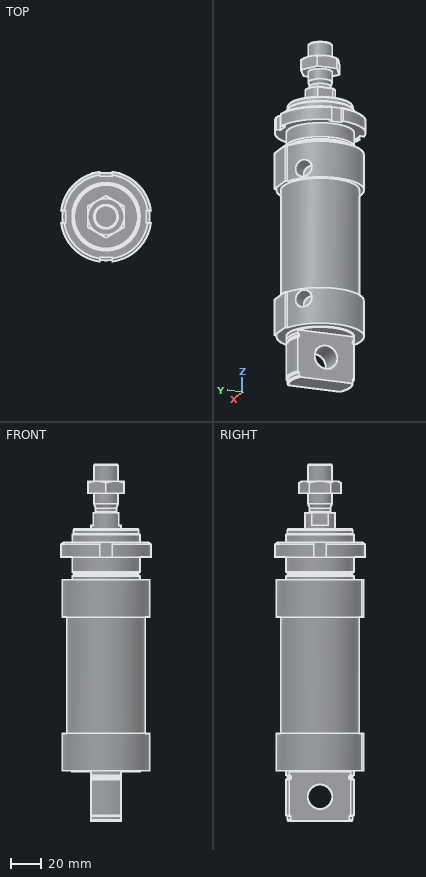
import cadquery as cq
import math

overall_height = 235.2
clevis_height = 32.5
collar_height = 0.7
cap_height = 24.7
tube_length = 76.7
head_height = 33.5
lower_cap_z = clevis_height + collar_height
upper_cap_z = lower_cap_z + cap_height + tube_length
head_z = upper_cap_z + cap_height
head_top = head_z + head_height

cap_diameter = 57.9
tube_diameter = 52.0
end_diameter = 45.0
tip_diameter = 43.3
groove_diameter = 42.8
tip_length = 3.0
edge_chamfer = 0.7
groove_floor = 1.0
groove_gap = 2.0
clevis_thickness = 20.0
clevis_hole_diameter = 16.0
clevis_hole_z = 16.0

boss_width = 18.3
port_diameter = 11.5
port_depth = 14.0
port_inset = 6.8
port_angle = 135.0

shoulder_diameter = 20.0
shoulder_height = 10.5
flat_spacing = 17.0
flat_length = 8.2
thread_diameter = 16.0
neck_diameter = 13.9
neck_flare_diameter = 15.3
neck_flare_height = 0.7
neck_top_height = 3.0
neck_taper = 2.8

hex_across_flats = 24.0
hex_height = 8.0
hex_z = 216.1
hex_chamfer_angle = 30.0

ring_diameter = 60.0
ring_height = 9.9
ring_z = 174.0
ring_chamfer_width = 2.0
ring_chamfer_height = 1.5
slot_width = 8.0
slot_depth = 3.3
slot_count = 4


def disc(diameter, height, z):
    return cq.Workplane("XY").workplane(offset=z).circle(diameter / 2).extrude(height)


def turned(profile):
    """Revolve a closed (radius, height) outline about Z."""
    return cq.Workplane("XZ").polyline(profile).close().revolve(360, (0, 0), (0, 1))


def grooved_end(length):
    """Round end standing on Z = 0, with a relief groove and a reduced, chamfered tip on top."""
    end_radius = end_diameter / 2
    tip_radius = tip_diameter / 2
    groove_radius = groove_diameter / 2
    groove_depth = end_radius - groove_radius
    step_top = length - tip_length
    floor_start = groove_gap + groove_depth
    floor_end = floor_start + groove_floor
    return turned([
        (0, 0),
        (end_radius, 0),
        (end_radius, groove_gap),
        (groove_radius, floor_start),
        (groove_radius, floor_end),
        (end_radius, floor_end + groove_depth),
        (end_radius, step_top - (end_radius - tip_radius)),
        (tip_radius, step_top),
        (tip_radius, length - edge_chamfer),
        (tip_radius - edge_chamfer, length),
        (0, length),
    ])


def make_clevis():
    """Downward end cut to a flat tongue, with a cross hole along X."""
    round_end = grooved_end(clevis_height).mirror("XY").translate((0, 0, clevis_height))
    tongue = cq.Workplane("XY").box(
        clevis_thickness, end_diameter, clevis_height, centered=(True, True, False)
    )
    hole = (
        cq.Workplane("YZ")
        .center(0, clevis_hole_z)
        .circle(clevis_hole_diameter / 2)
        .extrude(clevis_thickness, both=True)
    )
    return round_end.intersect(tongue).cut(hole)


def make_cap(z, port_z):
    """End cap with a flat-faced boss on +Y and a blind radial port."""
    cap_radius = cap_diameter / 2
    boss = (
        cq.Workplane("XY")
        .workplane(offset=z)
        .rect(boss_width, cap_radius)
        .extrude(cap_height)
        .translate((0, cap_radius / 2, 0))
    )
    port_direction = cq.Vector(
        math.cos(math.radians(port_angle)), math.sin(math.radians(port_angle)), 0
    )
    port_floor = port_direction * (cap_radius - port_depth) + cq.Vector(0, 0, port_z)
    port = cq.Solid.makeCylinder(port_diameter / 2, cap_radius, port_floor, port_direction)
    return disc(cap_diameter, cap_height, z).union(boss).cut(cq.Workplane(port))


def make_cylinder_body():
    """Clevis, end caps, tube and grooved head as one solid."""
    lower_cap_top = lower_cap_z + cap_height
    clevis = make_clevis()
    collar = disc(end_diameter, collar_height, clevis_height)
    lower_cap = make_cap(lower_cap_z, lower_cap_top - port_inset)
    tube = disc(tube_diameter, tube_length, lower_cap_top)
    upper_cap = make_cap(upper_cap_z, upper_cap_z + port_inset)
    head = grooved_end(head_height).translate((0, 0, head_z))
    return clevis.union(collar).union(lower_cap).union(tube).union(upper_cap).union(head)


def make_piston_rod():
    """Shoulder with two wrench flats, a relief neck and a chamfered threaded tip."""
    shoulder_top = head_top + shoulder_height
    neck_top = shoulder_top + neck_top_height
    thread_radius = thread_diameter / 2
    neck_radius = neck_diameter / 2
    rod = turned([
        (0, head_top),
        (shoulder_diameter / 2, head_top),
        (shoulder_diameter / 2, shoulder_top),
        (neck_flare_diameter / 2, shoulder_top),
        (neck_radius, shoulder_top + neck_flare_height),
        (neck_radius, neck_top),
        (thread_radius, neck_top + neck_taper),
        (thread_radius, overall_height - edge_chamfer),
        (thread_radius - edge_chamfer, overall_height),
        (0, overall_height),
    ])
    for side in (-1, 1):
        flat_cutter = cq.Workplane("XY").box(
            shoulder_diameter, shoulder_diameter, flat_length, centered=(True, True, False)
        ).translate((side * (flat_spacing + shoulder_diameter) / 2, 0, shoulder_top - flat_length))
        rod = rod.cut(flat_cutter)
    return rod


def make_hex_nut():
    """Hexagon nut with corners on the Y axis, its corners chamfered at the top."""
    corner_diameter = hex_across_flats / math.cos(math.pi / 6)
    flat_radius = hex_across_flats / 2
    corner_radius = corner_diameter / 2
    chamfer_drop = (corner_radius - flat_radius) * math.tan(math.radians(hex_chamfer_angle))
    hexagon = (
        cq.Workplane("XY")
        .polygon(6, corner_diameter)
        .extrude(hex_height)
        .rotate((0, 0, 0), (0, 0, 1), 90)
    )
    envelope = turned([
        (0, 0),
        (corner_radius, 0),
        (corner_radius, hex_height - chamfer_drop),
        (flat_radius, hex_height),
        (0, hex_height),
    ])
    bore = disc(thread_diameter, hex_height, 0)
    return hexagon.intersect(envelope).cut(bore).translate((0, 0, hex_z))


def make_mounting_nut():
    """Ring nut chamfered at the top, with evenly spaced slots in its rim."""
    ring_radius = ring_diameter / 2
    ring = turned([
        (end_diameter / 2, 0),
        (ring_radius, 0),
        (ring_radius, ring_height - ring_chamfer_height),
        (ring_radius - ring_chamfer_width, ring_height),
        (end_diameter / 2, ring_height),
    ])
    slot = cq.Workplane("XY").box(
        2 * slot_depth, slot_width, ring_height, centered=(True, True, False)
    ).translate((ring_radius, 0, 0))
    for index in range(slot_count):
        ring = ring.cut(slot.rotate((0, 0, 0), (0, 0, 1), index * 360 / slot_count))
    return ring.translate((0, 0, ring_z))


cylinder_body = make_cylinder_body()
piston_rod = make_piston_rod()
hex_nut = make_hex_nut()
mounting_nut = make_mounting_nut()

result = cq.Compound.makeCompound([
    cylinder_body.val(),
    piston_rod.val(),
    hex_nut.val(),
    mounting_nut.val(),
])